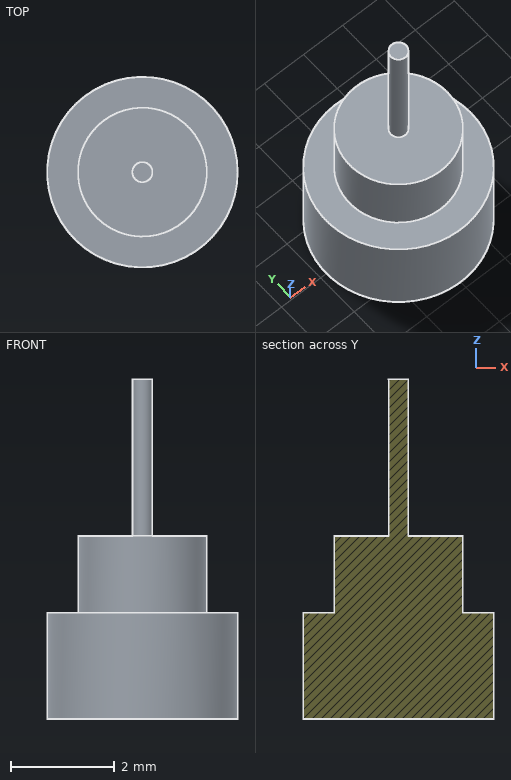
import cadquery as cq

total_height = 6.6

base_diameter = 3.7
base_height = 2.065

collar_diameter = 2.5
collar_height = 1.49

pin_diameter = 0.39
pin_height = total_height - base_height - collar_height

base = cq.Workplane("XY").circle(base_diameter / 2).extrude(base_height)
collar_and_base = base.faces(">Z").workplane().circle(collar_diameter / 2).extrude(collar_height)
result = collar_and_base.faces(">Z").workplane().circle(pin_diameter / 2).extrude(pin_height)